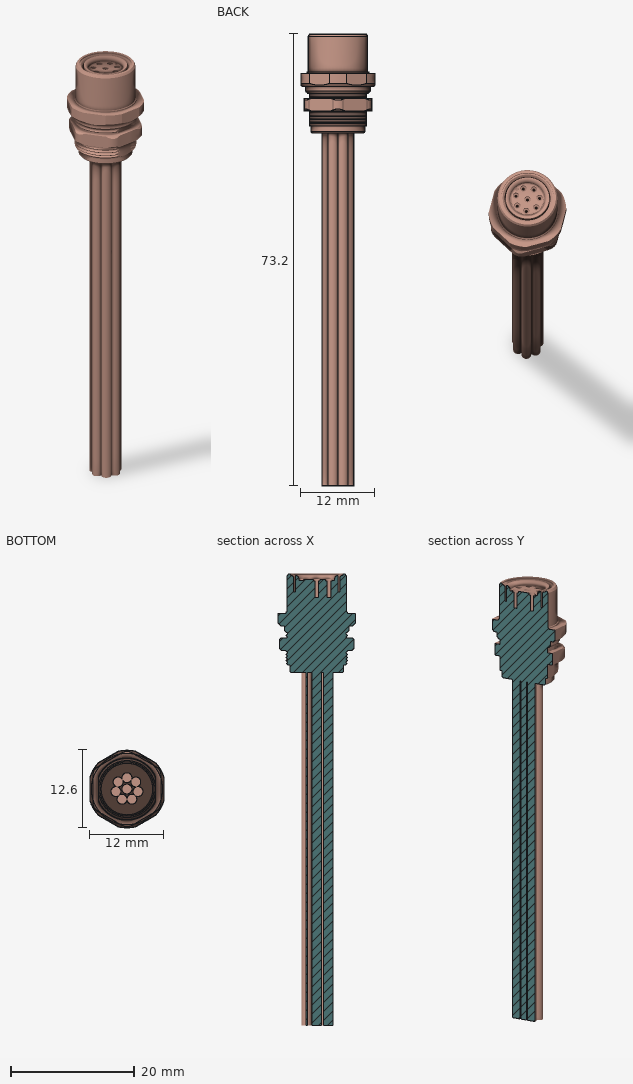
import cadquery as cq
import math

rim_z = 73.2
hex_top_z = 66.8
hex_bottom_z = 64.7
thread_top_z = 63.6
nut_top_z = 62.8
nut_bottom_z = 60.75
thread_bottom_z = 58.35
ferrule_bottom_z = 57.2

sleeve_radius = 4.8
rim_chamfer_run = 0.2
rim_chamfer_height = 0.4
collar_radius = 5.05
collar_height = 0.2
seal_radius = 5.3
seal_chamfer = 0.4
ferrule_radius = 4.4
ferrule_chamfer = 0.2

thread_radius = 5.05
thread_pitch = 0.5
thread_depth = 0.3
thread_flat_distance = 4.6
thread_taper = 0.45

hex_across_flats = 12.0
hex_corner_radius = 6.3
hex_chamfer_run = 0.5
nut_across_flats = 11.0
nut_edge_radius = 1.6
nut_chamfer_radius = 6.15
nut_chamfer_run = 0.4

gap_outer_radius = 3.7
gap_depth = 2.9
gap_chamfer = 0.3
rim_step_radius = 4.25
rim_step_depth = 0.2
mouth_radius = 2.85
mouth_round = 0.65
gap_inner_radius = mouth_radius + mouth_round
lip_depth = 0.2
face_depth = lip_depth + mouth_round
moat_inner_radius = 2.6
moat_depth = 0.15
key_width = 0.5
key_inner_radius = 2.2

ring_count = 7
contact_ring_radius = 2.0
contact_radius = 0.5
contact_recess = 0.3
bore_radius = 0.255
bore_depth = 2.9
wire_ring_radius = 1.8
wire_radius = 0.8
wire_overlap = 0.7


def pattern(ring_radius):
    """Centre point followed by the ring, which starts at -Y."""
    angles = [math.radians(-90 + 360 * i / ring_count) for i in range(ring_count)]
    return [(0, 0)] + [(ring_radius * math.cos(a), ring_radius * math.sin(a)) for a in angles]


def cylinder(radius, bottom_z, top_z):
    return cq.Workplane("XY").workplane(offset=bottom_z).circle(radius).extrude(top_z - bottom_z)


def ring(outer_radius, inner_radius, bottom_z, top_z):
    return cylinder(outer_radius, bottom_z, top_z).cut(cylinder(inner_radius, bottom_z, top_z))


def hex_prism(across_flats, bottom_z, top_z):
    """Hexagon with two flats facing +X and -X."""
    corner_diameter = across_flats / math.cos(math.radians(30))
    base = cq.Workplane("XY").workplane(offset=bottom_z)
    return base.transformed(rotate=(0, 0, 30)).polygon(6, corner_diameter).extrude(top_z - bottom_z)


def chamfered_disc(radius, bottom_z, top_z, run, edges):
    """Disc used to trim the corners and ends of another shape."""
    return cylinder(radius, bottom_z, top_z).edges(edges).chamfer(run)


def make_sleeve():
    sleeve = cylinder(sleeve_radius, hex_top_z, rim_z)
    sleeve = sleeve.faces(">Z").edges().chamfer(rim_chamfer_height, rim_chamfer_run)
    return sleeve.union(cylinder(collar_radius, hex_top_z, hex_top_z + collar_height))


def make_hexagon():
    envelope = chamfered_disc(hex_corner_radius, hex_bottom_z, hex_top_z, hex_chamfer_run, "<Z")
    return hex_prism(hex_across_flats, hex_bottom_z, hex_top_z).intersect(envelope)


def make_nut():
    prism = hex_prism(nut_across_flats, nut_bottom_z, nut_top_z).edges("|Z").fillet(nut_edge_radius)
    envelope = chamfered_disc(nut_chamfer_radius, nut_bottom_z, nut_top_z, nut_chamfer_run, "<Z or >Z")
    return prism.intersect(envelope)


def make_thread():
    root_radius = thread_radius - thread_depth
    turns = int((thread_top_z - thread_bottom_z) / thread_pitch)
    points = [(0, thread_bottom_z), (root_radius, thread_bottom_z)]
    for turn in range(turns):
        z = thread_bottom_z + turn * thread_pitch
        points.append((thread_radius, z + thread_pitch / 2))
        points.append((root_radius, z + thread_pitch))
    points += [(root_radius, thread_top_z), (0, thread_top_z)]
    thread = cq.Workplane("XZ").polyline(points).close().revolve(360, (0, 0, 0), (0, 1, 0))
    slab = cq.Workplane("XY").workplane(offset=thread_bottom_z)
    slab = slab.rect(2 * thread_flat_distance, 2 * thread_radius).extrude(thread_top_z - thread_bottom_z)
    envelope = chamfered_disc(thread_radius, thread_bottom_z, thread_top_z, thread_taper, "<Z")
    return thread.intersect(envelope).intersect(slab)


def make_seal():
    return cylinder(seal_radius, thread_top_z, hex_bottom_z).faces("<Z").edges().chamfer(seal_chamfer)


def make_ferrule():
    ferrule = cylinder(ferrule_radius, ferrule_bottom_z, thread_bottom_z)
    return ferrule.faces("<Z").edges().chamfer(ferrule_chamfer)


def make_wires():
    wires = cq.Workplane("XY")
    for x, y in pattern(wire_ring_radius):
        wires = wires.union(cylinder(wire_radius, 0, ferrule_bottom_z + wire_overlap).translate((x, y, 0)))
    return wires


def cut_gap(body):
    gap = ring(gap_outer_radius, gap_inner_radius, rim_z - gap_depth, rim_z)
    step_z = rim_z - rim_step_depth
    step = (
        cq.Workplane("XZ")
        .polyline([
            (gap_outer_radius, rim_z),
            (rim_step_radius, rim_z),
            (rim_step_radius, step_z),
            (gap_outer_radius + gap_chamfer, step_z),
            (gap_outer_radius, step_z - gap_chamfer),
        ])
        .close()
        .revolve(360, (0, 0, 0), (0, 1, 0))
    )
    return body.cut(gap).cut(step)


def cut_face(body):
    face_z = rim_z - face_depth
    lip_z = rim_z - lip_depth
    moat_z = face_z - moat_depth
    mouth = (
        cq.Workplane("XZ")
        .moveTo(0, face_z)
        .lineTo(mouth_radius, face_z)
        .radiusArc((gap_inner_radius, lip_z), mouth_round)
        .lineTo(gap_inner_radius, rim_z)
        .lineTo(0, rim_z)
        .close()
        .revolve(360, (0, 0, 0), (0, 1, 0))
    )
    moat = ring(mouth_radius, moat_inner_radius, moat_z, face_z)
    key_length = mouth_radius - key_inner_radius
    key_centre = (mouth_radius + key_inner_radius) / 2
    key = cq.Workplane("XY").workplane(offset=moat_z).center(0, key_centre)
    key = key.rect(key_width, key_length).extrude(moat_depth)
    return body.cut(mouth).cut(moat).cut(key)


def cut_contacts(body):
    face_z = rim_z - face_depth
    for x, y in pattern(contact_ring_radius):
        recess = cylinder(contact_radius, face_z - contact_recess, face_z)
        bore = cylinder(bore_radius, face_z - bore_depth, face_z)
        body = body.cut(recess.union(bore).translate((x, y, 0)))
    return body


body = make_sleeve()
for piece in (make_hexagon(), make_seal(), make_thread(), make_nut(), make_ferrule(), make_wires()):
    body = body.union(piece)

result = cut_contacts(cut_face(cut_gap(body)))